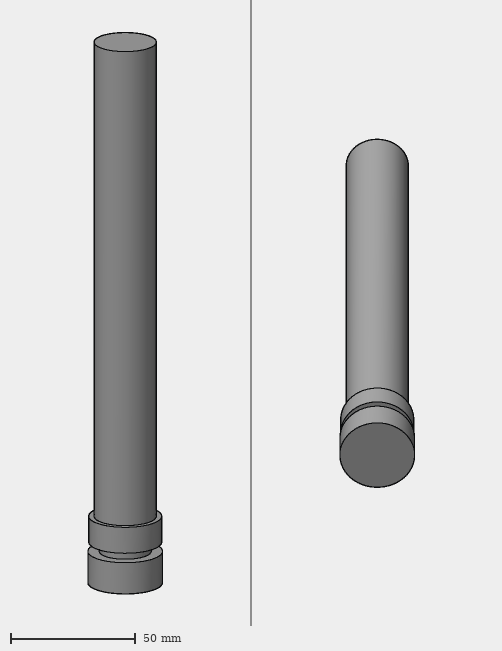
import cadquery as cq

head_diameter = 30.0
neck_diameter = 21.0
collar_diameter = 29.5
rod_diameter = 25.0

total_height = 228.0
head_height = 13.2
neck_height = 3.9
collar_height = 11.0
rod_height = total_height - head_height - neck_height - collar_height


def add_section(body, diameter, height):
    """Stack a coaxial cylinder on the top face of the body."""
    return body.faces(">Z").workplane().circle(diameter / 2).extrude(height)


result = cq.Workplane("XY").circle(head_diameter / 2).extrude(head_height)
result = add_section(result, neck_diameter, neck_height)
result = add_section(result, collar_diameter, collar_height)
result = add_section(result, rod_diameter, rod_height)